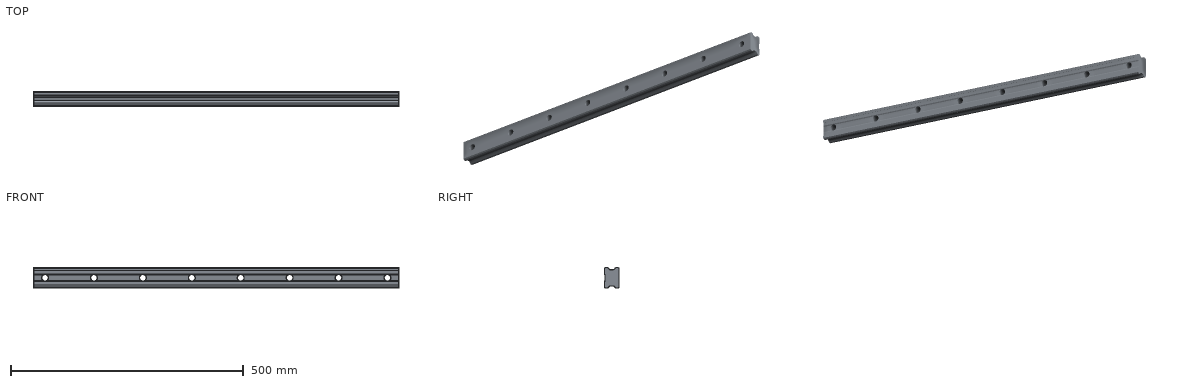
import cadquery as cq

LENGTH = 785.0
WIDTH = 45.0
HEIGHT = 32.0

FOOT_CHAMFER = 2.0
HEAD_CHAMFER = 2.0
HEAD_LAND_END = 9.0
FLANK_KINK = 6.0
GROOVE_TOP = 3.0
GROOVE_BOTTOM = -4.0
FOOT_LAND_END = -9.0
KINK_DEPTH = 3.0
GROOVE_DEPTH = 5.0

RELIEF_WIDTH = 31.0
RELIEF_DEPTH = 0.4
TROUGH_WIDTH = 16.5
TROUGH_FLOOR_WIDTH = 12.0
TROUGH_DEPTH = 1.5

HOLE_COUNT = 8
HOLE_PITCH = 105.0
HOLE_DIAMETER = 14.0


def rail_bar():
    """Extrude the symmetric profile along X."""
    half_width = WIDTH / 2
    head = HEIGHT / 2
    base = -head
    groove_floor = half_width - GROOVE_DEPTH
    side = [
        (base + TROUGH_DEPTH, TROUGH_FLOOR_WIDTH / 2),
        (base + RELIEF_DEPTH, TROUGH_WIDTH / 2),
        (base + RELIEF_DEPTH, RELIEF_WIDTH / 2),
        (base, RELIEF_WIDTH / 2),
        (base, half_width - FOOT_CHAMFER),
        (base + FOOT_CHAMFER, half_width),
        (FOOT_LAND_END, half_width),
        (GROOVE_BOTTOM, groove_floor),
        (GROOVE_TOP, groove_floor),
        (FLANK_KINK, half_width - KINK_DEPTH),
        (HEAD_LAND_END, half_width),
        (head - HEAD_CHAMFER, half_width),
        (head, half_width - HEAD_CHAMFER),
    ]
    mirrored_side = [(y, -z) for y, z in reversed(side)]
    profile = cq.Workplane("YZ").polyline(side + mirrored_side).close()
    return profile.extrude(LENGTH / 2, both=True)


def mounting_holes():
    """Cylinders for the row of holes through the rail along Y."""
    return (
        cq.Workplane("XZ")
        .rarray(HOLE_PITCH, 8, HOLE_COUNT, 1)
        .circle(HOLE_DIAMETER / 2)
        .extrude(HEIGHT, both=True)
    )


result = rail_bar().cut(mounting_holes())